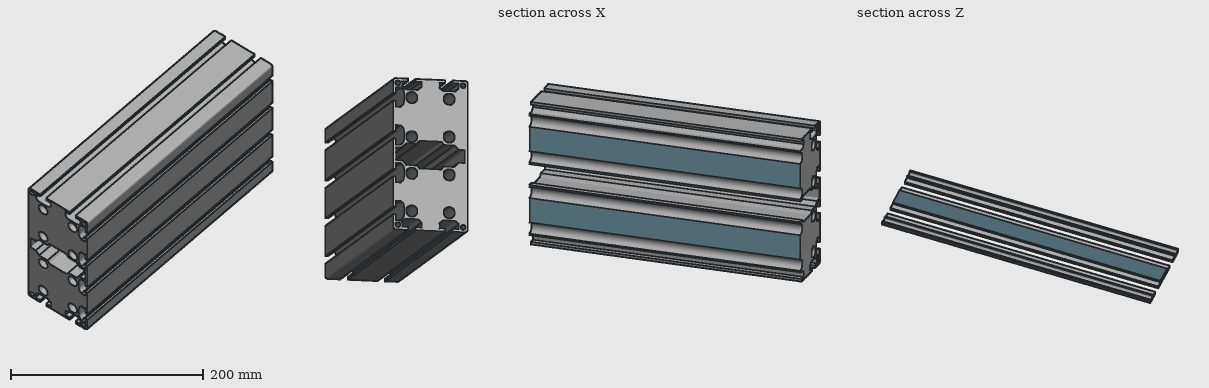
import cadquery as cq

length = 300.0
width = 80.0
height = 160.0
row_count = 4
module = height / row_count
half_module = module / 2
corner_radius = 3.0

slot_opening = 8.0
slot_inner_width = 20.7
slot_depth = 11.7
slot_chamfer = 3.5
slot_floor_radius = 4.8
lip_thickness = 3.0

core_bore_diameter = 12.0
corner_bore_diameter = 5.0
corner_bore_inset = 5.0
shifted_bore_x = 20.0
shifted_bore_z = 18.5

cavity_wall = 3.3
cavity_end_half_height = 7.0
cavity_shoulder_half_height = 11.5
cavity_middle_half_height = 14.7
cavity_end_half_width = 30.0
cavity_shoulder_half_width = 14.0
cavity_middle_half_width = 11.7
cavity_corner_radius = 1.2


def extrude_profile(sketch):
    """Extrude an XZ sketch over the full length, centred on Y = 0."""
    return sketch.extrude(length / 2, both=True)


def bores(points, diameter):
    """Round bores through the full length at the given (x, z) centres."""
    return extrude_profile(cq.Workplane("XZ").pushPoints(points).circle(diameter / 2))


def t_slot():
    """T-slot cutter open towards +Z, with its mouth centred on the origin."""
    mouth = slot_opening / 2
    inner = slot_inner_width / 2
    right_side = [
        (mouth, 0),
        (mouth, -lip_thickness),
        (inner, -lip_thickness),
        (inner, slot_chamfer - slot_depth),
        (inner - slot_chamfer, -slot_depth),
    ]
    left_side = [(-x, z) for x, z in reversed(right_side)]
    cutter = extrude_profile(cq.Workplane("XZ").polyline(right_side + left_side).close())
    return cutter.faces("<Z").edges("|Y").fillet(slot_floor_radius)


def cavity():
    """Closed chamber in the middle of the profile, symmetric about X and Z."""
    end_x = width / 2 - cavity_wall
    end_chamfer = cavity_shoulder_half_height - cavity_end_half_height
    upper_right = [
        (end_x, cavity_end_half_height),
        (cavity_end_half_width, cavity_end_half_height),
        (cavity_end_half_width - end_chamfer, cavity_shoulder_half_height),
        (cavity_shoulder_half_width, cavity_shoulder_half_height),
        (cavity_middle_half_width, cavity_middle_half_height),
    ]
    upper = upper_right + [(-x, z) for x, z in reversed(upper_right)]
    lower = [(x, -z) for x, z in reversed(upper)]
    chamber = extrude_profile(cq.Workplane("XZ").polyline(upper + lower).close())
    for outermost_face in ("<X", ">X", "<Z", ">Z"):
        chamber = chamber.faces(outermost_face).edges("|Y").fillet(cavity_corner_radius)
    return chamber


result = cq.Workplane("XY").box(width, length, height).edges("|Y").fillet(corner_radius)

module_columns = [-half_module, half_module]
for x in module_columns:
    result = result.cut(t_slot().translate((x, 0, height / 2)))
    bottom_slot = t_slot().rotate((0, 0, 0), (0, 1, 0), 180)
    result = result.cut(bottom_slot.translate((x, 0, -height / 2)))

module_rows = [(row + 0.5) * module - height / 2 for row in range(row_count)]
for z in module_rows:
    side_slot = t_slot().rotate((0, 0, 0), (0, 1, 0), 90)
    result = result.cut(side_slot.translate((width / 2, 0, z)))

shifted_column = 1
shifted_row = 2
core_centres = [
    (x, z)
    for column, x in enumerate(module_columns)
    for row, z in enumerate(module_rows)
    if (column, row) != (shifted_column, shifted_row)
]
core_centres.append((shifted_bore_x, shifted_bore_z))
result = result.cut(bores(core_centres, core_bore_diameter))

corner_x = width / 2 - corner_bore_inset
corner_z = height / 2 - corner_bore_inset
corner_centres = [(x, z) for x in (-corner_x, corner_x) for z in (-corner_z, corner_z)]
result = result.cut(bores(corner_centres, corner_bore_diameter))

result = result.cut(cavity())